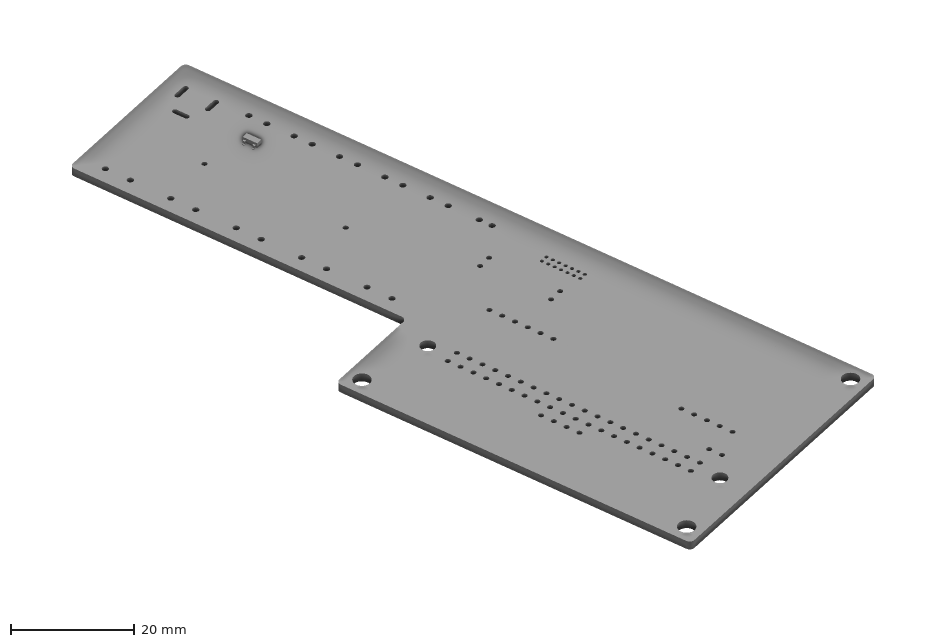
import cadquery as cq

BOARD_LENGTH = 137.5
BOARD_WIDTH = 52.0
BOARD_THICKNESS = 1.6
NOTCH_LENGTH = 67.0
NOTCH_WIDTH = 19.8
CORNER_RADIUS = 1.0

MOUNT_HOLE_DIAMETER = 3.2
MOUNT_HOLE_INSET = 3.0
HEADER_MOUNT_DIAMETER = 2.8
HEADER_MOUNT_SPACING = 58.0

PIN_DIAMETER = 1.0
HEADER_COLUMNS = 20
HEADER_SPAN = 48.3
PIN_PITCH = HEADER_SPAN / (HEADER_COLUMNS - 1)
HEADER_CENTER_X = 102.7
HEADER_CENTER_Y = 16.2
EXTRA_PIN_COUNT = 4
EXTRA_FIRST_COLUMN = 8

UPPER_LEFT_ROW = (76.6, 29.4, 6)
UPPER_RIGHT_ROW = (116.5, 27.0, 5)
SHORT_RIGHT_ROW = (126.1, 21.2, 2)

LEFT_PAIR = (68.9, 37.7)
RIGHT_PAIR = (83.2, 37.4)

TERMINAL_DIAMETER = 1.2
TERMINAL_PAIRS = 5
TOP_TERMINAL_Y = 47.2
TOP_TERMINAL_X = 16.2
TOP_TERMINAL_GAP = 3.6
TOP_TERMINAL_SPAN = 36.0
TOP_TERMINAL_PITCH = TOP_TERMINAL_SPAN / (TERMINAL_PAIRS - 1)
END_PAIR_X = 62.0
END_PAIR_COUNT = 2
LOWER_TERMINAL_Y = 22.7
LOWER_TERMINAL_X = 5.1
LOWER_TERMINAL_GAP = 5.0
LOWER_TERMINAL_SPAN = 52.0
LOWER_TERMINAL_PITCH = LOWER_TERMINAL_SPAN / (TERMINAL_PAIRS - 1)

LONE_HOLE_DIAMETER = 1.02
LONE_HOLE_Y = 33.0
LONE_HOLE_X = 17.5
LONE_HOLE_SPACING = 28.0

SLOT_LENGTH = 3.3
SLOT_WIDTH = 1.0
SLOT_Y = 45.8
LEFT_SLOT_X = 3.8
RIGHT_SLOT_X = 9.9
CROSS_SLOT_X = 7.0
CROSS_SLOT_Y = 41.1

FINE_DIAMETER = 0.7
FINE_COLUMNS = 7
FINE_PITCH = PIN_PITCH / 2
FINE_CENTER_X = 80.2
FINE_CENTER_Y = 45.1

TRANSISTOR_X = 20.8
TRANSISTOR_Y = 41.7
TRANSISTOR_HEIGHT = 1.1
CASE_LENGTH = 3.0
CASE_WIDTH = 1.3
CASE_CLEARANCE = 0.1
CASE_TAPER = 8.0
LEAD_WIDTH = 0.44
LEAD_THICKNESS = 0.1
LEAD_REACH = 1.2
LEAD_BEND = 0.8
LEAD_EXIT_HEIGHT = 0.5
LEAD_SPACING = 1.9


def pin_row(first_x, first_y, count):
    return [(first_x + i * PIN_PITCH, first_y) for i in range(count)]


def pin_column(x, lower_y):
    return [(x, lower_y), (x, lower_y + PIN_PITCH)]


def terminal_pairs(first_x, y, gap, pitch):
    return [(first_x + i * pitch + side * gap, y) for i in range(TERMINAL_PAIRS) for side in (0, 1)]


def drill(board, points, diameter):
    holes = cq.Workplane("XY").pushPoints(points).circle(diameter / 2).extrude(BOARD_THICKNESS)
    return board.cut(holes)


def cut_slot(board, x, y, angle):
    slot = cq.Workplane("XY").center(x, y).slot2D(SLOT_LENGTH, SLOT_WIDTH, angle).extrude(BOARD_THICKNESS)
    return board.cut(slot)


def make_blank():
    outline = [
        (NOTCH_LENGTH, 0),
        (BOARD_LENGTH, 0),
        (BOARD_LENGTH, BOARD_WIDTH),
        (0, BOARD_WIDTH),
        (0, NOTCH_WIDTH),
        (NOTCH_LENGTH, NOTCH_WIDTH),
    ]
    blank = cq.Workplane("XY").polyline(outline).close().extrude(BOARD_THICKNESS)
    return blank.edges("|Z").fillet(CORNER_RADIUS)


def drill_mounting_holes(board):
    right_x = BOARD_LENGTH - MOUNT_HOLE_INSET
    corners = [
        (NOTCH_LENGTH + MOUNT_HOLE_INSET, MOUNT_HOLE_INSET),
        (right_x, MOUNT_HOLE_INSET),
        (right_x, BOARD_WIDTH - MOUNT_HOLE_INSET),
    ]
    header_ends = [
        (HEADER_CENTER_X + side * HEADER_MOUNT_SPACING / 2, HEADER_CENTER_Y) for side in (-1, 1)
    ]
    board = drill(board, corners, MOUNT_HOLE_DIAMETER)
    return drill(board, header_ends, HEADER_MOUNT_DIAMETER)


def drill_pin_holes(board):
    header_x = HEADER_CENTER_X - HEADER_SPAN / 2
    lower_row_y = HEADER_CENTER_Y - PIN_PITCH / 2
    extra_x = header_x + EXTRA_FIRST_COLUMN * PIN_PITCH
    pins = (
        pin_row(header_x, lower_row_y, HEADER_COLUMNS)
        + pin_row(header_x, lower_row_y + PIN_PITCH, HEADER_COLUMNS)
        + pin_row(extra_x, lower_row_y - PIN_PITCH, EXTRA_PIN_COUNT)
        + pin_row(*UPPER_LEFT_ROW)
        + pin_row(*UPPER_RIGHT_ROW)
        + pin_row(*SHORT_RIGHT_ROW)
        + pin_column(*LEFT_PAIR)
        + pin_column(*RIGHT_PAIR)
    )
    return drill(board, pins, PIN_DIAMETER)


def drill_terminal_holes(board):
    terminals = (
        terminal_pairs(TOP_TERMINAL_X, TOP_TERMINAL_Y, TOP_TERMINAL_GAP, TOP_TERMINAL_PITCH)
        + pin_row(END_PAIR_X, TOP_TERMINAL_Y, END_PAIR_COUNT)
        + terminal_pairs(LOWER_TERMINAL_X, LOWER_TERMINAL_Y, LOWER_TERMINAL_GAP, LOWER_TERMINAL_PITCH)
    )
    return drill(board, terminals, TERMINAL_DIAMETER)


def drill_lone_holes(board):
    lone_holes = [(LONE_HOLE_X, LONE_HOLE_Y), (LONE_HOLE_X + LONE_HOLE_SPACING, LONE_HOLE_Y)]
    return drill(board, lone_holes, LONE_HOLE_DIAMETER)


def drill_fine_holes(board):
    first_x = FINE_CENTER_X - (FINE_COLUMNS - 1) / 2 * FINE_PITCH
    fine_holes = [
        (first_x + i * FINE_PITCH, FINE_CENTER_Y + side * FINE_PITCH / 2)
        for i in range(FINE_COLUMNS)
        for side in (-1, 1)
    ]
    return drill(board, fine_holes, FINE_DIAMETER)


def cut_slots(board):
    board = cut_slot(board, LEFT_SLOT_X, SLOT_Y, 90)
    board = cut_slot(board, RIGHT_SLOT_X, SLOT_Y, 90)
    return cut_slot(board, CROSS_SLOT_X, CROSS_SLOT_Y, 0)


def make_board():
    board = make_blank()
    board = drill_mounting_holes(board)
    board = drill_pin_holes(board)
    board = drill_terminal_holes(board)
    board = drill_lone_holes(board)
    board = drill_fine_holes(board)
    return cut_slots(board)


def make_lead(x, side):
    """Bent lead from the middle of the case down to the board, on the +Y or -Y side."""
    profile = [
        (0, LEAD_EXIT_HEIGHT),
        (side * LEAD_BEND, LEAD_EXIT_HEIGHT),
        (side * LEAD_BEND, 0),
        (side * LEAD_REACH, 0),
        (side * LEAD_REACH, LEAD_THICKNESS),
        (side * (LEAD_BEND + LEAD_THICKNESS), LEAD_THICKNESS),
        (side * (LEAD_BEND + LEAD_THICKNESS), LEAD_EXIT_HEIGHT + LEAD_THICKNESS),
        (0, LEAD_EXIT_HEIGHT + LEAD_THICKNESS),
    ]
    lead = cq.Workplane("YZ").polyline(profile).close().extrude(LEAD_WIDTH / 2, both=True)
    return lead.translate((x, 0, 0))


def case_half(height):
    """Half of the case above its parting plane, narrowing away from it."""
    return cq.Workplane("XY").rect(CASE_LENGTH, CASE_WIDTH).extrude(height, taper=CASE_TAPER)


def make_transistor():
    lower_half = case_half(LEAD_EXIT_HEIGHT - CASE_CLEARANCE).mirror("XY")
    upper_half = case_half(TRANSISTOR_HEIGHT - LEAD_EXIT_HEIGHT)
    case = upper_half.union(lower_half).translate((0, 0, LEAD_EXIT_HEIGHT))
    transistor = (
        case.union(make_lead(0, 1))
        .union(make_lead(-LEAD_SPACING / 2, -1))
        .union(make_lead(LEAD_SPACING / 2, -1))
    )
    return transistor.translate((TRANSISTOR_X, TRANSISTOR_Y, BOARD_THICKNESS))


board = make_board()
transistor = make_transistor()
result = cq.Compound.makeCompound([board.val(), transistor.val()])